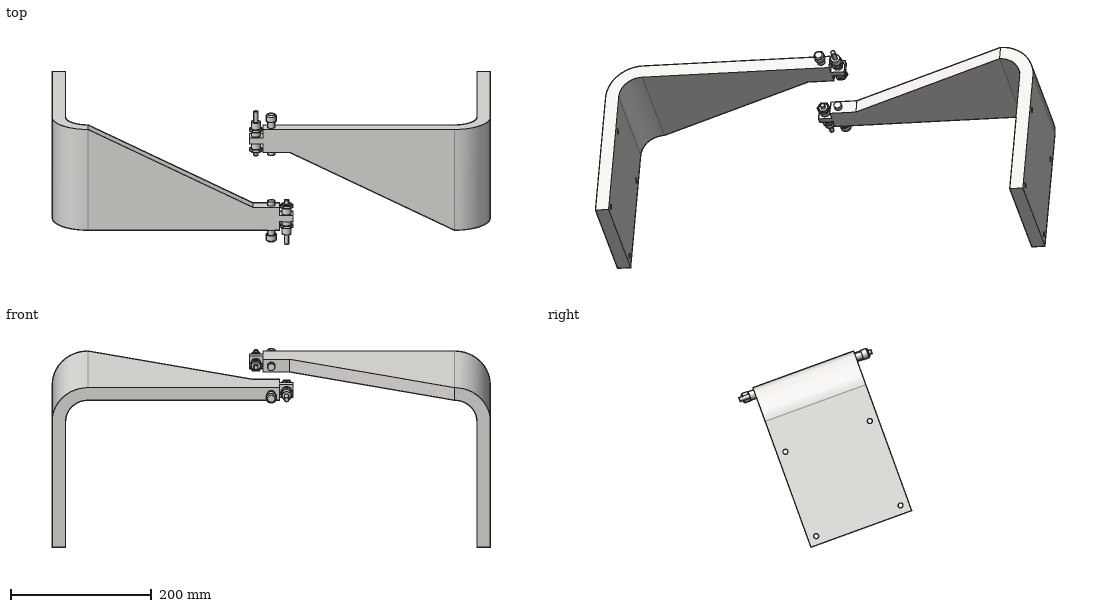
import cadquery as cq


SPAN = 622.0
TILT = 20.0

PLATE_WIDTH = 152.5
PLATE_HEIGHT = 241.5
THICKNESS = 19.0
BEND_RADIUS = 51.0
INNER_BEND_RADIUS = BEND_RADIUS - THICKNESS
LEG_X = -SPAN / 2
BEND_END_X = LEG_X + BEND_RADIUS
FRONT_Y = -PLATE_WIDTH / 2
BACK_Y = PLATE_WIDTH / 2

TONGUE_TIP_X = 31.0
TONGUE_LENGTH = 19.0
TONGUE_WIDTH = 9.5
ARM_END_WIDTH = 35.0
ARM_END_LENGTH = 38.0
ARM_END_X = TONGUE_TIP_X - TONGUE_LENGTH
TAPER_END_X = ARM_END_X - ARM_END_LENGTH
TONGUE_MID_Y = FRONT_Y + ARM_END_WIDTH / 2

MOUNT_HOLE_DIAMETER = 7.0
MOUNT_HOLE_MARGIN = 12.5
MOUNT_HOLE_SPACING = PLATE_WIDTH - 2 * MOUNT_HOLE_MARGIN

PIN_X = 0.0
PIN_DIAMETER = 10.5
PIN_BACK_REACH = 6.0
PIN_NECK_LENGTH = 9.5
KNOB_DIAMETER = 14.0
KNOB_LENGTH = 10.0
KNOB_CHAMFER = 2.0

SENSOR_TO_TIP = 9.5
SENSOR_X = TONGUE_TIP_X - SENSOR_TO_TIP
SENSOR_DIAMETER = 13.0
SENSOR_FRONT_REACH = 25.5
SENSOR_BACK_REACH = 19.0
CABLE_DIAMETER = 6.0
CABLE_LENGTH = 15.5
TIP_DIAMETER = 6.0
TIP_LENGTH = 5.5

NUT_ACROSS_CORNERS = 18.5
NUT_THICKNESS = 4.0
FRONT_NUT_OFFSET = 13.5
BACK_NUT_OFFSET = 16.0

AXIS_Z = -THICKNESS / 2


def rod(diameter, x, start_y, end_y):
    """Round bar along Y in the arm's middle plane."""
    return (
        cq.Workplane("XZ", origin=(x, end_y, AXIS_Z))
        .circle(diameter / 2)
        .extrude(end_y - start_y)
    )


def bent_plate():
    """Leg and arm as one L-shaped strip of full width."""
    return (
        cq.Workplane("XZ", origin=(0, BACK_Y, 0))
        .moveTo(LEG_X, -PLATE_HEIGHT)
        .lineTo(LEG_X, -BEND_RADIUS)
        .radiusArc((BEND_END_X, 0), BEND_RADIUS)
        .lineTo(TONGUE_TIP_X, 0)
        .lineTo(TONGUE_TIP_X, -THICKNESS)
        .lineTo(BEND_END_X, -THICKNESS)
        .radiusArc((LEG_X + THICKNESS, -BEND_RADIUS), -INNER_BEND_RADIUS)
        .lineTo(LEG_X + THICKNESS, -PLATE_HEIGHT)
        .close()
        .extrude(PLATE_WIDTH)
    )


def plan_outline():
    """Tall prism with the plan shape of the plate: full width, taper, narrow end and tongue."""
    narrow_back_y = FRONT_Y + ARM_END_WIDTH
    tongue_back_y = TONGUE_MID_Y + TONGUE_WIDTH / 2
    tongue_front_y = TONGUE_MID_Y - TONGUE_WIDTH / 2
    return (
        cq.Workplane("XY", origin=(0, 0, -PLATE_HEIGHT))
        .polyline([
            (LEG_X, FRONT_Y),
            (ARM_END_X, FRONT_Y),
            (ARM_END_X, tongue_front_y),
            (TONGUE_TIP_X, tongue_front_y),
            (TONGUE_TIP_X, tongue_back_y),
            (ARM_END_X, tongue_back_y),
            (ARM_END_X, narrow_back_y),
            (TAPER_END_X, narrow_back_y),
            (BEND_END_X, BACK_Y),
            (LEG_X, BACK_Y),
        ])
        .close()
        .extrude(PLATE_HEIGHT)
    )


def mount_holes():
    """Four holes through the leg, along X."""
    middle_z = -PLATE_HEIGHT + MOUNT_HOLE_MARGIN + MOUNT_HOLE_SPACING / 2
    return (
        cq.Workplane("YZ", origin=(LEG_X, 0, middle_z))
        .rarray(MOUNT_HOLE_SPACING, MOUNT_HOLE_SPACING, 2, 2)
        .circle(MOUNT_HOLE_DIAMETER / 2)
        .extrude(THICKNESS)
    )


def make_bracket():
    pin_hole = rod(PIN_DIAMETER, PIN_X, FRONT_Y, BACK_Y)
    sensor_hole = rod(SENSOR_DIAMETER, SENSOR_X, FRONT_Y, BACK_Y)
    return (
        bent_plate()
        .intersect(plan_outline())
        .cut(mount_holes())
        .cut(pin_hole)
        .cut(sensor_hole)
    )


def make_pin():
    knob_back_y = FRONT_Y - PIN_NECK_LENGTH
    shank_end_y = FRONT_Y + ARM_END_WIDTH + PIN_BACK_REACH
    shank = rod(PIN_DIAMETER, PIN_X, knob_back_y, shank_end_y)
    knob = rod(KNOB_DIAMETER, PIN_X, knob_back_y - KNOB_LENGTH, knob_back_y).faces("<Y").chamfer(KNOB_CHAMFER)
    return shank.union(knob)


def make_sensor():
    front_y = TONGUE_MID_Y - SENSOR_FRONT_REACH
    back_y = TONGUE_MID_Y + SENSOR_BACK_REACH
    barrel = rod(SENSOR_DIAMETER, SENSOR_X, front_y, back_y)
    cable = rod(CABLE_DIAMETER, SENSOR_X, front_y - CABLE_LENGTH, front_y)
    tip = rod(TIP_DIAMETER, SENSOR_X, back_y, back_y + TIP_LENGTH)
    return barrel.union(cable).union(tip)


def make_nut(offset_y):
    """Nut centred at the given distance from the tongue's middle plane."""
    back_y = TONGUE_MID_Y + offset_y + NUT_THICKNESS / 2
    return (
        cq.Workplane("XZ", origin=(SENSOR_X, back_y, AXIS_Z))
        .polygon(6, NUT_ACROSS_CORNERS)
        .circle(SENSOR_DIAMETER / 2)
        .extrude(NUT_THICKNESS)
    )


def placed(body, turn):
    """Turn a body about the vertical middle axis, then lean it with the assembly."""
    return body.rotate((0, 0, 0), (0, 0, 1), turn).rotate((0, 0, 0), (1, 0, 0), TILT)


bodies = []
for side_turn in (0, 180):
    bodies.append(placed(make_bracket(), side_turn).val())
    bodies.append(placed(make_pin(), side_turn).val())
    bodies.append(placed(make_sensor(), side_turn).val())
    for nut_offset in (-FRONT_NUT_OFFSET, BACK_NUT_OFFSET):
        bodies.append(placed(make_nut(nut_offset), side_turn).val())

result = cq.Compound.makeCompound(bodies)